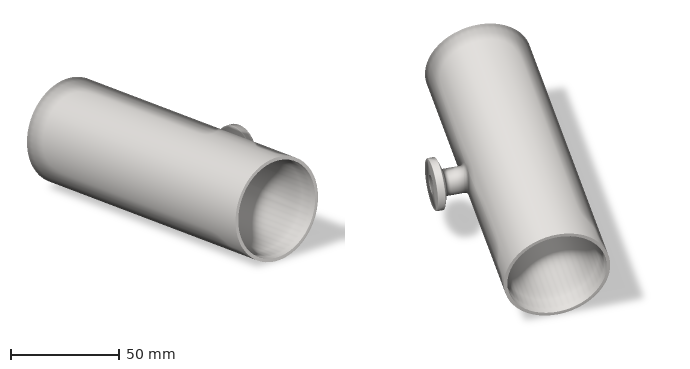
import cadquery as cq
import math

tube_length = 146.0
tube_outer_diameter = 50.8
tube_inner_diameter = 47.5
tube_outer_radius = tube_outer_diameter / 2

overall_depth = 66.6
flange_diameter = 25.0
flange_rim_thickness = 3.7
flange_back_angle = 20.0
neck_diameter = 12.7
bore_diameter = 9.3
rim_edge_radius = 0.5
flange_neck_fillet_radius = 0.6
weld_fillet_radius = 1.5

rim_radius = flange_diameter / 2
neck_radius = neck_diameter / 2
ferrule_face_y = overall_depth - tube_outer_radius
rim_back_y = ferrule_face_y - flange_rim_thickness
taper_length = (rim_radius - neck_radius) * math.tan(math.radians(flange_back_angle))
taper_end_y = rim_back_y - taper_length
flange_stub_y = (tube_outer_radius + taper_end_y) / 2


def cylinder_along_x(diameter):
    """Solid cylinder over the whole length of the tube."""
    return cq.Workplane("YZ").circle(diameter / 2).extrude(tube_length / 2, both=True)


def cylinder_along_y(diameter, end_y):
    """Solid cylinder from the tube axis outward to end_y."""
    return cq.Workplane("XZ").circle(diameter / 2).extrude(-end_y)


def branch_region(start_y, end_y):
    """Selector for edges centred around the branch between two Y positions."""
    return cq.selectors.BoxSelector(
        (-rim_radius, start_y, -rim_radius),
        (rim_radius, end_y, rim_radius),
    )


def make_flange():
    """Rounded rim with a conical back that tapers into a stub of the neck."""
    flange = (
        cq.Workplane("XY")
        .moveTo(0, ferrule_face_y)
        .lineTo(rim_radius, ferrule_face_y)
        .lineTo(rim_radius, rim_back_y)
        .lineTo(neck_radius, taper_end_y)
        .lineTo(neck_radius, flange_stub_y)
        .lineTo(0, flange_stub_y)
        .close()
        .revolve(360, (0, 0, 0), (0, 1, 0))
    )
    taper_middle_y = (rim_back_y + taper_end_y) / 2
    stub_middle_y = (taper_end_y + flange_stub_y) / 2
    rim_region = branch_region(taper_middle_y, overall_depth)
    taper_end_region = branch_region(stub_middle_y, taper_middle_y)
    flange = flange.edges("%CIRCLE").edges(rim_region).fillet(rim_edge_radius)
    return flange.edges("%CIRCLE").edges(taper_end_region).fillet(flange_neck_fillet_radius)


def make_tube_with_neck():
    """Solid tube body and neck, with the saddle-shaped joint between them filleted."""
    neck = cylinder_along_y(neck_diameter, flange_stub_y)
    body = cylinder_along_x(tube_outer_diameter).union(neck)
    joint_region = branch_region(0, tube_outer_radius)
    return body.edges(joint_region).fillet(weld_fillet_radius)


tube_bore = cylinder_along_x(tube_inner_diameter)
branch_bore = cylinder_along_y(bore_diameter, ferrule_face_y)

result = make_tube_with_neck().union(make_flange()).cut(tube_bore).cut(branch_bore)